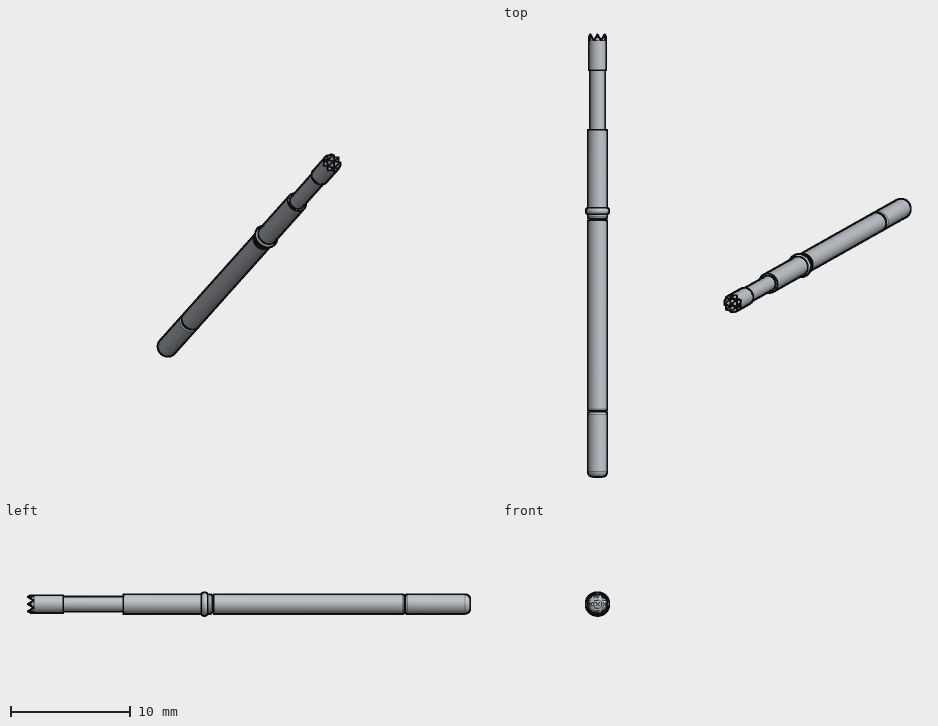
import cadquery as cq
import math

TOTAL_LENGTH = 37.0

HEAD_RADIUS = 0.75
HEAD_LENGTH = 3.0
SHAFT_RADIUS = 0.65
PLUNGER_LENGTH = 8.0

TOOTH_PITCH = 0.6
TOOTH_DEPTH = 0.52
TEETH_PER_SIDE = 3

BARREL_RADIUS = 0.835
BARREL_LENGTH = TOTAL_LENGTH - PLUNGER_LENGTH
TAIL_FILLET = 0.47

COLLAR_RADIUS = 1.0
COLLAR_FRONT_Y = 22.5
COLLAR_WIDTH = 0.55
COLLAR_REAR_Y = COLLAR_FRONT_Y - COLLAR_WIDTH

LIP_LENGTH = 0.18
ROOT_WIDTH = 0.08
GROOVE_DEPTH = 0.14
TAIL_GROOVE_Y = 5.48

COLLAR_GROOVE_LIP_Y = 21.77
COLLAR_GROOVE_SHOULDER_Y = 21.45


def revolve_outline(outline):
    """Turn a half outline (radius along X, length along Y) about the Y axis."""
    return outline.close().revolve(360, (0, 0, 0), (0, 1, 0))


def cylinder(radius, y_start, y_end):
    """Round bar on the Y axis between two positions."""
    return (
        cq.Workplane("XY")
        .rect(radius, y_end - y_start, centered=False)
        .revolve(360, (0, 0, 0), (0, 1, 0))
        .translate((0, y_start, 0))
    )


def make_plunger():
    head_y = TOTAL_LENGTH - HEAD_LENGTH
    shaft = cylinder(SHAFT_RADIUS, BARREL_LENGTH, head_y)
    return shaft.union(cylinder(HEAD_RADIUS, head_y, TOTAL_LENGTH))


def make_barrel():
    barrel = cylinder(BARREL_RADIUS, 0, BARREL_LENGTH)
    return barrel.faces("<Y").edges().fillet(TAIL_FILLET)


def make_collar():
    outline = (
        cq.Workplane("XY")
        .moveTo(0, COLLAR_REAR_Y)
        .lineTo(BARREL_RADIUS, COLLAR_REAR_Y)
        .threePointArc(
            (COLLAR_RADIUS, COLLAR_FRONT_Y - COLLAR_WIDTH / 2),
            (BARREL_RADIUS, COLLAR_FRONT_Y),
        )
        .lineTo(0, COLLAR_FRONT_Y)
    )
    return revolve_outline(outline)


def tooth_groove(offset):
    """V groove running along Z across the tip, with its root at X = offset."""
    half_width = TOOTH_PITCH / 2
    return (
        cq.Workplane("XY")
        .moveTo(offset, TOTAL_LENGTH - TOOTH_DEPTH)
        .lineTo(offset + half_width, TOTAL_LENGTH)
        .lineTo(offset - half_width, TOTAL_LENGTH)
        .close()
        .extrude(2 * HEAD_RADIUS, both=True)
    )


def cut_serrations(body):
    """Cut crossing V grooves; the outermost ones bevel the rim of the tip."""
    for index in range(TEETH_PER_SIDE + 1):
        groove = tooth_groove((index - TEETH_PER_SIDE / 2) * TOOTH_PITCH)
        body = body.cut(groove)
        body = body.cut(groove.rotate((0, 0, 0), (0, 1, 0), 90))
    return body


def rounded_lip(lip_y, direction):
    """Start a groove outline: an arc tangent to the barrel, falling to the groove root.

    direction is +1 when the root lies on the +Y side of the lip, -1 otherwise.
    """
    arc_radius = (LIP_LENGTH ** 2 + GROOVE_DEPTH ** 2) / (2 * GROOVE_DEPTH)
    half_length = LIP_LENGTH / 2
    half_way_drop = arc_radius - math.sqrt(arc_radius ** 2 - half_length ** 2)
    return (
        cq.Workplane("XY")
        .moveTo(BARREL_RADIUS, lip_y)
        .threePointArc(
            (BARREL_RADIUS - half_way_drop, lip_y + direction * half_length),
            (BARREL_RADIUS - GROOVE_DEPTH, lip_y + direction * LIP_LENGTH),
        )
    )


def cut_collar_groove(body):
    outline = (
        rounded_lip(COLLAR_GROOVE_LIP_Y, -1)
        .lineTo(BARREL_RADIUS - GROOVE_DEPTH, COLLAR_GROOVE_SHOULDER_Y)
        .lineTo(BARREL_RADIUS, COLLAR_GROOVE_SHOULDER_Y)
    )
    return body.cut(revolve_outline(outline))


def cut_tail_groove(body):
    for direction in (1, -1):
        lip_y = TAIL_GROOVE_Y - direction * (LIP_LENGTH + ROOT_WIDTH / 2)
        outline = (
            rounded_lip(lip_y, direction)
            .lineTo(BARREL_RADIUS - GROOVE_DEPTH, TAIL_GROOVE_Y)
            .lineTo(BARREL_RADIUS, TAIL_GROOVE_Y)
        )
        body = body.cut(revolve_outline(outline))
    return body


result = make_barrel().union(make_plunger()).union(make_collar())
result = cut_serrations(result)
result = cut_collar_groove(result)
result = cut_tail_groove(result)